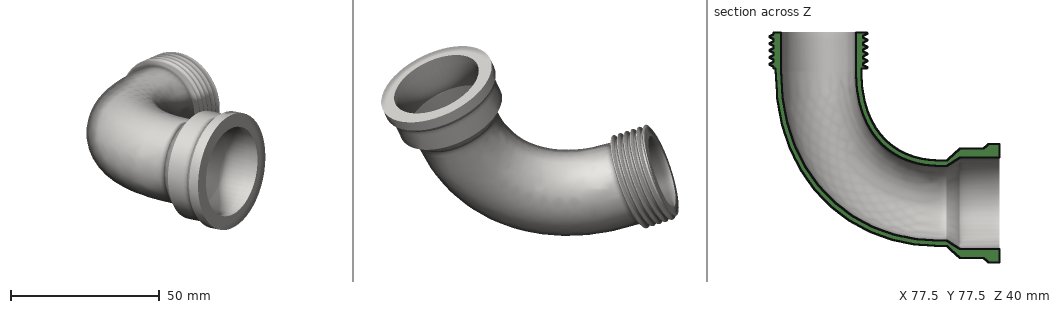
import cadquery as cq
import math


pipe_diameter = 29.0
bore_diameter = 25.0
male_arm = 57.52
female_arm = 60.9

thread_major = 33.25
thread_minor = 30.29
thread_pitch = 2.309
thread_length = 12.2
thread_neck = 1.0
thread_flank_angle = 27.5
crest_width = 0.2
first_crest_height = 0.3
root_overlap = 0.3

collar_diameter = 40.0
socket_diameter = 37.0
socket_bore = 30.61
collar_length = 3.65
collar_slope_length = 1.75
socket_length = 13.3
cone_length = 4.4
cone_neck = 2.4

bend_start = male_arm - thread_length - thread_neck
bend_end = female_arm - socket_length - cone_length - cone_neck
male_pull = 27.7
female_pull = 23.3


def bent_rod(diameter):
    """Round rod following the elbow's centre line from end face to end face."""
    path = (
        cq.Workplane("XY")
        .moveTo(0, male_arm)
        .lineTo(0, bend_start)
        .bezier([
            (0, bend_start),
            (0, bend_start - male_pull),
            (bend_end - female_pull, 0),
            (bend_end, 0),
        ])
        .lineTo(female_arm, 0)
    )
    end_plane = cq.Workplane("XZ", origin=(0, male_arm, 0))
    return end_plane.circle(diameter / 2).sweep(path)


def thread_ridge():
    """Helical ridge around Z, one pitch longer than the thread at each end."""
    root_radius = thread_minor / 2 - root_overlap
    crest_radius = thread_major / 2
    half_crest = crest_width / 2
    flank_rise = (crest_radius - root_radius) * math.tan(math.radians(thread_flank_angle))
    half_root = half_crest + flank_rise
    start = first_crest_height - thread_pitch
    helix = cq.Wire.makeHelix(thread_pitch, thread_length + 2 * thread_pitch, root_radius)
    ridge = (
        cq.Workplane("XZ")
        .polyline([
            (root_radius, -half_root),
            (crest_radius, -half_crest),
            (crest_radius, half_crest),
            (root_radius, half_root),
        ])
        .close()
        .sweep(cq.Workplane(helix), isFrenet=True)
    )
    return ridge.translate((0, 0, start))


def male_thread():
    """Threaded sleeve around the male end, cut square at both ends."""
    core = cq.Workplane("XY").circle(thread_minor / 2).extrude(thread_length)
    envelope = cq.Workplane("XY").circle(thread_major).extrude(thread_length)
    threaded = core.union(thread_ridge().intersect(envelope))
    turned = threaded.rotate((0, 0, 0), (1, 0, 0), -90)
    return turned.translate((0, male_arm - thread_length, 0))


def female_body():
    """Cone, socket and end collar with a sloped shoulder, turned about the X axis."""
    cone_end = female_arm - socket_length
    collar_start = female_arm - collar_length
    return (
        cq.Workplane("XY")
        .moveTo(cone_end - cone_length, 0)
        .lineTo(cone_end - cone_length, pipe_diameter / 2)
        .lineTo(cone_end, socket_diameter / 2)
        .lineTo(collar_start - collar_slope_length, socket_diameter / 2)
        .lineTo(collar_start, collar_diameter / 2)
        .lineTo(female_arm, collar_diameter / 2)
        .lineTo(female_arm, 0)
        .close()
        .revolve(360, (0, 0, 0), (1, 0, 0))
    )


def female_bore():
    """Socket bore, tapering down to the pipe bore inside the outer cone."""
    taper_start = female_arm - socket_length
    return (
        cq.Workplane("XY")
        .moveTo(taper_start - cone_length, 0)
        .lineTo(taper_start - cone_length, bore_diameter / 2)
        .lineTo(taper_start, socket_bore / 2)
        .lineTo(female_arm, socket_bore / 2)
        .lineTo(female_arm, 0)
        .close()
        .revolve(360, (0, 0, 0), (1, 0, 0))
    )


outside = bent_rod(pipe_diameter).union(female_body()).union(male_thread())
elbow = outside.cut(bent_rod(bore_diameter)).cut(female_bore())
result = cq.Workplane(elbow.solids().val())